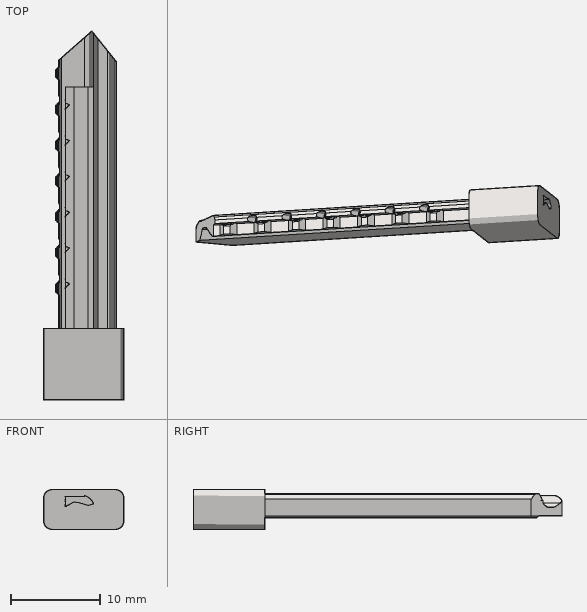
import cadquery as cq
import math

TOTAL_LENGTH = 41.3

BOW_WIDTH = 9.0
BOW_HEIGHT = 4.5
BOW_LENGTH = 8.0
BOW_EDGE_RADIUS = 1.0

BLADE_LEFT = -2.8
BLADE_RIGHT = 3.68
SIDE_WALL = -2.55
RAIL_LOW = 0.4
RAIL_HIGH = 0.83
RAIL_UNDERCUT = 0.12
LAND_HEIGHT = 1.45
LAND_END = 0.1
STEP_HEIGHT = 1.55
RIDGE_HEIGHT = 1.8
LEFT_FOOT = -0.95
RIGHT_FOOT = -0.7

POINT_X = 0.9
LEFT_SHOULDER_Y = 38.05
RIGHT_SHOULDER_Y = 37.85

POCKET_LEFT = -2.05
POCKET_RIGHT = 1.07
POCKET_END = 35.05

PITCH = 4.0
TOOTH_COUNT = 7
FIRST_TOOTH_Y = 36.55
TOOTH_TIP = -3.2
TOOTH_TIP_WIDTH = 0.75
TOOTH_LIP = -0.05
TOOTH_STEP = 0.15
TOOTH_SLOPE_RUN = 0.12
TOOTH_TOP = 0.37
PIT_COUNT = 6
FIRST_PIT_Y = FIRST_TOOTH_Y - 2.85
PIT_DIAMETER = 0.8
PIT_DEPTH = 1.32
PIT_Z = 0.7
PIT_ANGLE = 45.0


def extrude_along_y(section, length):
    """Extrude an XZ section from Y = 0 toward +Y."""
    return section.close().extrude(-length)


def make_bow():
    bow = cq.Workplane("XY").box(BOW_WIDTH, BOW_LENGTH, BOW_HEIGHT, centered=(True, False, True))
    return bow.edges("|Y").fillet(BOW_EDGE_RADIUS)


def make_blade_bar():
    """Full-length bar with the blade section, before any cut."""
    section = (
        cq.Workplane("XZ")
        .moveTo(SIDE_WALL, LEFT_FOOT)
        .lineTo(SIDE_WALL, RAIL_LOW - RAIL_UNDERCUT)
        .lineTo(BLADE_LEFT, RAIL_LOW)
        .lineTo(BLADE_LEFT, RAIL_HIGH)
        .lineTo(-2.7, 1.2)
        .lineTo(-2.48, LAND_HEIGHT)
        .lineTo(LAND_END, LAND_HEIGHT)
        .lineTo(LAND_END, STEP_HEIGHT)
        .threePointArc((0.6, 1.3), (1.07, 0.7))
        .lineTo(1.55, 0.3)
        .threePointArc((2.2, 0.3), (2.65, 1.0))
        .lineTo(2.95, 1.75)
        .lineTo(3.15, RIDGE_HEIGHT)
        .lineTo(3.4, 1.65)
        .lineTo(BLADE_RIGHT, 1.15)
        .lineTo(BLADE_RIGHT, RIGHT_FOOT)
        .lineTo(0.15, RIGHT_FOOT)
        .lineTo(-0.15, -0.1)
        .lineTo(-0.3, 0.4)
        .threePointArc((-0.65, 0.55), (-1.05, 0.4))
        .lineTo(-1.5, 0.0)
        .lineTo(-1.9, -0.55)
        .lineTo(-2.35, LEFT_FOOT)
    )
    return extrude_along_y(section, TOTAL_LENGTH)


def make_pocket():
    """Column above the pocket floor; the floor is crowned in the middle."""
    section = (
        cq.Workplane("XZ")
        .moveTo(POCKET_LEFT, BOW_HEIGHT)
        .lineTo(POCKET_LEFT, 0.35)
        .lineTo(-1.1, 0.83)
        .lineTo(-0.6, 0.8)
        .lineTo(0.5, 0.45)
        .lineTo(POCKET_RIGHT, 0.6)
        .lineTo(POCKET_RIGHT, BOW_HEIGHT)
    )
    return extrude_along_y(section, POCKET_END)


def make_tooth(y):
    """Tooth with 45 degree flanks and a stepped, sloping top."""
    root = SIDE_WALL
    tip_half = TOOTH_TIP_WIDTH / 2
    root_half = tip_half + root - TOOTH_TIP
    outline = (
        cq.Workplane("XY", origin=(0, y, LEFT_FOOT))
        .polyline([(root, -root_half), (TOOTH_TIP, -tip_half), (TOOTH_TIP, tip_half), (root, root_half)])
        .close()
        .extrude(RAIL_LOW - LEFT_FOOT)
    )
    profile = (
        cq.Workplane("XZ", origin=(0, y + root_half, 0))
        .polyline([
            (root, LEFT_FOOT), (TOOTH_TIP, LEFT_FOOT), (TOOTH_TIP, TOOTH_LIP),
            (TOOTH_TIP + TOOTH_SLOPE_RUN, TOOTH_STEP), (BLADE_LEFT - TOOTH_SLOPE_RUN, TOOTH_STEP),
            (BLADE_LEFT, TOOTH_TOP), (root, TOOTH_TOP),
        ])
        .close()
        .extrude(2 * root_half)
    )
    return outline.intersect(profile)


def make_pit(y):
    """Blind round pit that enters the rail and leans back toward the bow."""
    lean = math.radians(PIT_ANGLE)
    axis = cq.Vector(math.cos(lean), -math.sin(lean), 0)
    mouth = cq.Vector(BLADE_LEFT, y, PIT_Z)
    run_out = PIT_DIAMETER
    return cq.Solid.makeCylinder(
        PIT_DIAMETER / 2, PIT_DEPTH + run_out, mouth - axis * run_out, axis
    )


def make_tip_envelope():
    """Plan outline of the pointed blade."""
    return (
        cq.Workplane("XY", origin=(0, 0, -BOW_HEIGHT))
        .polyline([
            (BLADE_LEFT, 0), (BLADE_LEFT, LEFT_SHOULDER_Y), (POINT_X, TOTAL_LENGTH),
            (BLADE_RIGHT, RIGHT_SHOULDER_Y), (BLADE_RIGHT, 0),
        ])
        .close()
        .extrude(2 * BOW_HEIGHT)
    )


blade_bar = make_blade_bar()
blade = blade_bar.intersect(make_tip_envelope())
for index in range(TOOTH_COUNT):
    blade = blade.union(make_tooth(FIRST_TOOTH_Y - index * PITCH))
for index in range(PIT_COUNT):
    blade = blade.cut(cq.Workplane(make_pit(FIRST_PIT_Y - index * PITCH)))

pocket = make_pocket().intersect(blade_bar)

result = blade.union(make_bow()).cut(pocket)